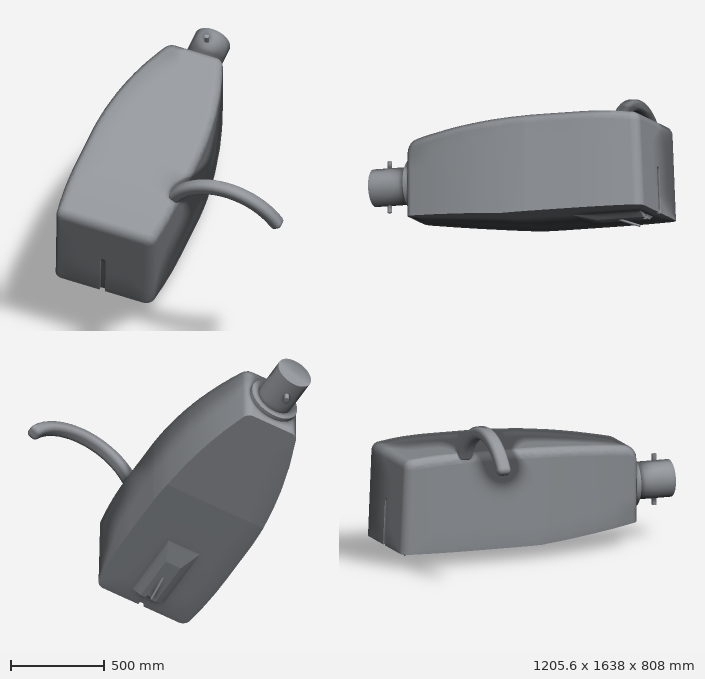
import cadquery as cq
import math


SHELL_LENGTH = 1400.0
SHELL_WIDTH = 615.0
SHELL_HALF_WIDTH = SHELL_WIDTH / 2
ROOF_Z = 292.0
FLOOR_Z = -241.0
REAR_WALL_LEAN = 23.0
FRONT_HALF_WIDTH = 150.0
FRONT_MIDDLE_HALF_WIDTH = 264.0
SIDE_FLAT_FRONT_Y = -740.0
SIDE_FLAT_REAR_Y = -1017.0
REAR_HALF_WIDTH = 277.0
FRONT_ROOF_Z = 218.0
ROOF_FLAT_FRONT_Y = -819.0
ROOF_FLAT_REAR_Y = -1065.0
REAR_ROOF_Z = 269.0
FRONT_FLOOR_Z = -192.0
FLOOR_FLAT_FRONT_Y = -608.0
EDGE_RADIUS = 49.0
FRONT_TOP_RADIUS = 152.0 / 2
ALONG_AXIS = 0.9

GROOVE_WIDTH = 31.0
GROOVE_DEPTH = 18.0
GROOVE_TOP_Z = 13.0

SPIGOT_DIAMETER = 203.0
SPIGOT_END_Y = 238.0
FLANGE_DIAMETER = 280.0
FLANGE_THICKNESS = 25.0
PIN_DIAMETER = 26.0
PIN_Y = 150.0

LIFT_CENTRE_X = 585.0
LIFT_CENTRE_Z = 120.0
LIFT_CENTRE_Y = -1045.0
LIFT_OUTER_RADIUS = 377.0
LIFT_THICKNESS = 67.0
LIFT_WIDTH = 75.0
LIFT_EDGE_RADIUS = 25.0
LIFT_TIP_ANGLE = 31.0
LIFT_ROOT_ANGLE = 155.0

PAD_DEPTH = 25.0
PAD_REAR_Y = -1324.0
PAD_FRONT_Y = -937.0
PAD_RAMP = 118.0
PAD_HALF_WIDTH = 97.0
PAD_SIDE_TAPER = 50.0
CANTILEVER_DIAMETER = 12.8
CANTILEVER_ANGLE = 19.4
CANTILEVER_TIP_Y = -1286.0
CANTILEVER_TIP_Z = -305.0


def tangent_arc_middle(start, end):
    """Middle point of an arc that leaves `start` along the first axis and reaches `end`."""
    run = end[0] - start[0]
    drop = end[1] - start[1]
    radius = (run**2 + drop**2) / (2 * abs(drop))
    half_turn = math.asin(abs(run) / radius) / 2
    return (
        start[0] + math.copysign(radius * math.sin(half_turn), run),
        start[1] + math.copysign(radius * (1 - math.cos(half_turn)), drop),
    )


def shell_plan():
    """Plan outline swept through the full height."""
    def across(point, side):
        return (side * point[1], point[0])

    front = (0, FRONT_HALF_WIDTH)
    flat_front = (SIDE_FLAT_FRONT_Y, SHELL_HALF_WIDTH)
    flat_rear = (SIDE_FLAT_REAR_Y, SHELL_HALF_WIDTH)
    rear = (-SHELL_LENGTH, REAR_HALF_WIDTH)
    front_middle = (SIDE_FLAT_FRONT_Y / 2, FRONT_MIDDLE_HALF_WIDTH)
    rear_middle = tangent_arc_middle(flat_rear, rear)
    return (
        cq.Workplane("XY", origin=(0, 0, FLOOR_Z))
        .moveTo(*across(front, 1))
        .threePointArc(across(front_middle, 1), across(flat_front, 1))
        .lineTo(*across(flat_rear, 1))
        .threePointArc(across(rear_middle, 1), across(rear, 1))
        .lineTo(*across(rear, -1))
        .threePointArc(across(rear_middle, -1), across(flat_rear, -1))
        .lineTo(*across(flat_front, -1))
        .threePointArc(across(front_middle, -1), across(front, -1))
        .close()
        .extrude(ROOF_Z - FLOOR_Z)
    )


def shell_profile():
    """Side outline (Y, Z) swept through the full width."""
    front = (0, FRONT_ROOF_Z)
    flat_front = (ROOF_FLAT_FRONT_Y, ROOF_Z)
    flat_rear = (ROOF_FLAT_REAR_Y, ROOF_Z)
    rear = (REAR_WALL_LEAN - SHELL_LENGTH, REAR_ROOF_Z)
    return (
        cq.Workplane("YZ")
        .moveTo(0, FRONT_FLOOR_Z)
        .lineTo(*front)
        .threePointArc(tangent_arc_middle(flat_front, front), flat_front)
        .lineTo(*flat_rear)
        .threePointArc(tangent_arc_middle(flat_rear, rear), rear)
        .lineTo(-SHELL_LENGTH, FLOOR_Z)
        .lineTo(FLOOR_FLAT_FRONT_Y, FLOOR_Z)
        .close()
        .extrude(SHELL_HALF_WIDTH, both=True)
    )


def is_outer_edge(edge):
    """True for the four upright corners and for the rim along both sides and the rear of the roof."""
    direction = edge.tangentAt(0.5)
    depth = edge.Center().y
    at_front = depth > -EDGE_RADIUS
    at_rear = depth < REAR_WALL_LEAN - SHELL_LENGTH + EDGE_RADIUS / 2
    on_rim = min(edge.startPoint().z, edge.endPoint().z) > 0
    if on_rim:
        runs_across = abs(direction.x) > ALONG_AXIS
        return at_rear or not runs_across
    runs_up = abs(direction.z) > ALONG_AXIS
    return runs_up and (at_front or at_rear)


def make_shell():
    shell = shell_plan().intersect(shell_profile())
    shell = shell.faces(">Y").edges(">Z").fillet(FRONT_TOP_RADIUS)
    outer_edges = [edge for edge in shell.edges().vals() if is_outer_edge(edge)]
    return shell.newObject(outer_edges).fillet(EDGE_RADIUS)


def make_rear_groove():
    """Round-topped cutter that follows the leaning rear wall from below the floor."""
    lean = math.degrees(math.atan2(REAR_WALL_LEAN, ROOF_Z - FLOOR_Z))
    height = GROOVE_TOP_Z - FLOOR_Z
    overhang = PAD_DEPTH
    return (
        cq.Workplane("XZ")
        .moveTo(-GROOVE_WIDTH / 2, -overhang)
        .lineTo(GROOVE_WIDTH / 2, -overhang)
        .lineTo(GROOVE_WIDTH / 2, height - GROOVE_WIDTH / 2)
        .threePointArc((0, height), (-GROOVE_WIDTH / 2, height - GROOVE_WIDTH / 2))
        .close()
        .extrude(GROOVE_DEPTH, both=True)
        .rotate((0, 0, 0), (1, 0, 0), -lean)
        .translate((0, -SHELL_LENGTH, FLOOR_Z))
    )


def make_spigot():
    """Flange, spigot and the bayonet pin that crosses it."""
    flange = cq.Workplane("XZ").circle(FLANGE_DIAMETER / 2).extrude(-FLANGE_THICKNESS)
    barrel = cq.Workplane("XZ").circle(SPIGOT_DIAMETER / 2).extrude(-SPIGOT_END_Y)
    pin = (
        cq.Workplane("XY", origin=(0, PIN_Y, 0))
        .circle(PIN_DIAMETER / 2)
        .extrude(FLANGE_DIAMETER / 2, both=True)
    )
    return flange.union(barrel).union(pin)


def make_finger_lift():
    """Round-edged bar bent into an arc, with its root inside the shell."""
    mid_radius = LIFT_OUTER_RADIUS - LIFT_THICKNESS / 2
    bar = (
        cq.Workplane("XY")
        .center(mid_radius, 0)
        .rect(LIFT_THICKNESS, LIFT_WIDTH)
        .revolve(LIFT_ROOT_ANGLE - LIFT_TIP_ANGLE, (-mid_radius, 0), (-mid_radius, -1))
        .edges()
        .fillet(LIFT_EDGE_RADIUS)
    )
    return (
        bar.rotate((0, 0, 0), (0, 1, 0), -LIFT_TIP_ANGLE)
        .translate((LIFT_CENTRE_X, LIFT_CENTRE_Y, LIFT_CENTRE_Z))
    )


def make_body():
    return (
        make_shell()
        .cut(make_rear_groove())
        .union(make_spigot())
        .union(make_finger_lift())
    )


def make_pad():
    """Low block under the floor, sloped at its front and sides, grooved in its upright rear face."""
    bottom_z = FLOOR_Z - PAD_DEPTH
    profile = (
        cq.Workplane("YZ")
        .moveTo(PAD_FRONT_Y, FLOOR_Z)
        .lineTo(PAD_REAR_Y, FLOOR_Z)
        .lineTo(PAD_REAR_Y, bottom_z)
        .lineTo(PAD_FRONT_Y - PAD_RAMP, bottom_z)
        .close()
        .extrude(PAD_HALF_WIDTH, both=True)
    )
    section = (
        cq.Workplane("XZ", origin=(0, PAD_FRONT_Y, 0))
        .moveTo(-PAD_HALF_WIDTH, FLOOR_Z)
        .lineTo(PAD_HALF_WIDTH, FLOOR_Z)
        .lineTo(PAD_HALF_WIDTH - PAD_SIDE_TAPER, bottom_z)
        .lineTo(PAD_SIDE_TAPER - PAD_HALF_WIDTH, bottom_z)
        .close()
        .extrude(PAD_FRONT_Y - PAD_REAR_Y)
    )
    groove = (
        cq.Workplane("XY", origin=(0, PAD_REAR_Y, FLOOR_Z))
        .rect(GROOVE_WIDTH, 2 * GROOVE_DEPTH)
        .extrude(-PAD_DEPTH)
    )
    return profile.intersect(section).cut(groove)


def make_cantilever():
    """Thin rod from its tip up and forward to the middle of the pad's depth."""
    slope = math.radians(CANTILEVER_ANGLE)
    inner_z = FLOOR_Z - PAD_DEPTH / 2
    length = (inner_z - CANTILEVER_TIP_Z) / math.sin(slope)
    tip = cq.Plane(
        origin=(0, CANTILEVER_TIP_Y, CANTILEVER_TIP_Z),
        xDir=(1, 0, 0),
        normal=(0, math.cos(slope), math.sin(slope)),
    )
    return cq.Workplane(tip).circle(CANTILEVER_DIAMETER / 2).extrude(length)


def make_stylus():
    return make_pad().union(make_cantilever())


body = make_body()
stylus = make_stylus()
result = cq.Compound.makeCompound([body.val(), stylus.val()])